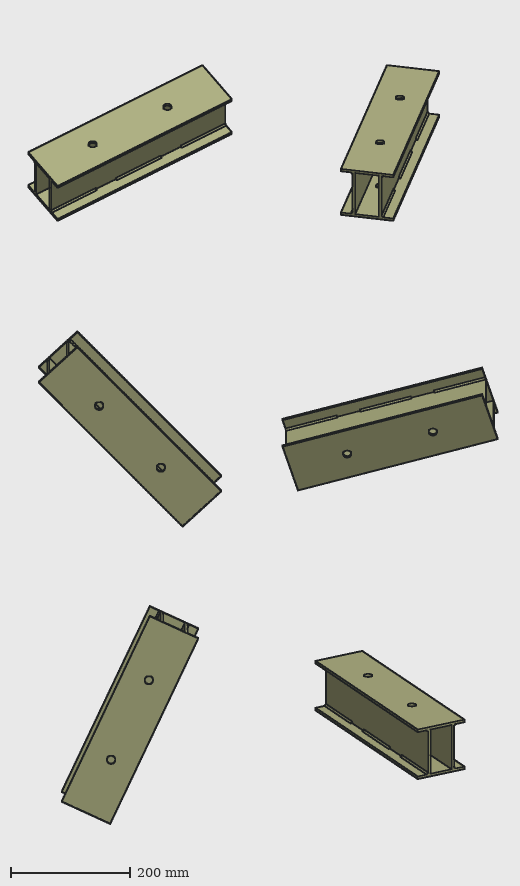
import cadquery as cq

length = 350.0
width = 90.0
height = 90.0
plate = 5.0
web_span = 50.0

weld_leg = 3.0
weld_count = 3
weld_length = 90.0
weld_pitch = (length - weld_length) / (weld_count - 1)

hole_diameter = 14.0
hole_spacing = 150.0

inner_height = height - 2 * plate


def make_flange(side):
    """Flat plate at the top (side = 1) or bottom (side = -1)."""
    z = side * (height - plate) / 2
    return cq.Workplane("XY").box(width, length, plate).translate((0, 0, z))


def make_web(side):
    """Upright plate on the +X (side = 1) or -X (side = -1) side."""
    x = side * (web_span - plate) / 2
    return cq.Workplane("XY").box(plate, length, inner_height).translate((x, 0, 0))


def make_weld(x_side, z_side, y_start):
    """Triangular bead between the outer face of a web and a flange."""
    x = x_side * web_span / 2
    z = z_side * inner_height / 2
    corners = [
        (x, z),
        (x + x_side * weld_leg, z),
        (x, z - z_side * weld_leg),
    ]
    return (
        cq.Workplane("XZ", origin=(0, y_start, 0))
        .polyline(corners)
        .close()
        .extrude(-weld_length)
    )


result = make_flange(1).union(make_flange(-1))
for side in (1, -1):
    result = result.union(make_web(side))

for x_side in (1, -1):
    for z_side in (1, -1):
        for index in range(weld_count):
            y_start = -length / 2 + index * weld_pitch
            result = result.union(make_weld(x_side, z_side, y_start))

hole_centres = [(0, hole_spacing / 2), (0, -hole_spacing / 2)]
holes = (
    cq.Workplane("XY", origin=(0, 0, -height / 2))
    .pushPoints(hole_centres)
    .circle(hole_diameter / 2)
    .extrude(height)
)
result = result.cut(holes)